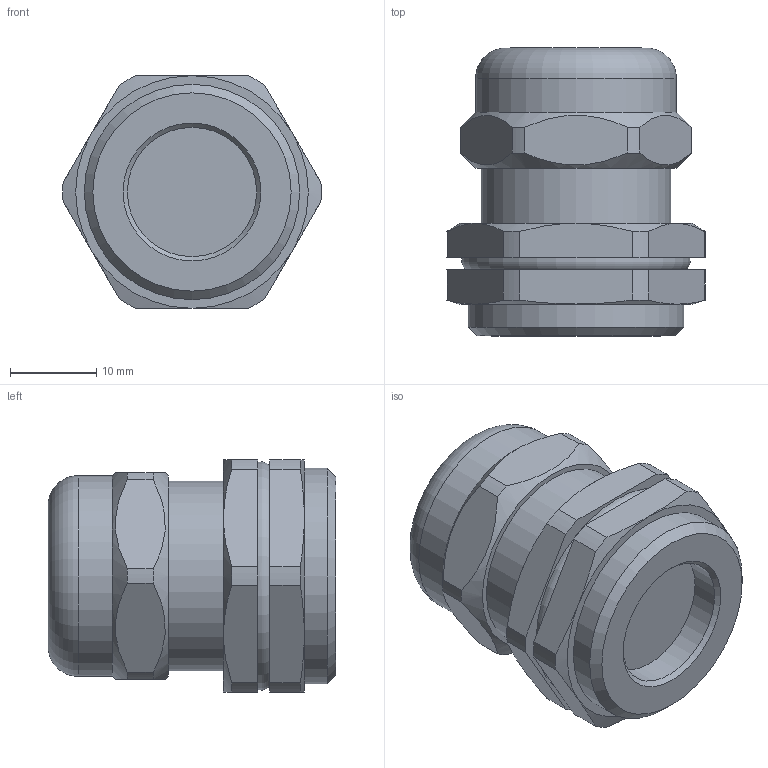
import cadquery as cq
import math


thread_length = 3.68
locknut_thickness = 4.0
seal_gap = 1.37
flange_thickness = 4.0
neck_length = 6.4
cap_hex_length = 6.5
overall_length = 33.41

locknut_y = thread_length
seal_y = locknut_y + locknut_thickness
flange_y = seal_y + seal_gap
neck_y = flange_y + flange_thickness
cap_hex_y = neck_y + neck_length
cap_y = cap_hex_y + cap_hex_length

thread_diameter = 25.0
thread_chamfer = 1.0
bore_diameter = 15.0
bore_depth = 3.7
bore_chamfer = 0.5
seal_ring_diameter = 23.5
seal_section_diameter = 3.0
seal_center_offset = 1.05
neck_diameter = 22.0
cap_diameter = 23.3
cap_round = 3.5

body_flats = 27.0
body_corner_diameter = 30.0
cap_flats = 24.0
cap_corner_diameter = 26.8

locknut_bevel = 0.45
flange_bevel = 0.95
cap_bevel = (cap_corner_diameter - cap_diameter) / 2


def cylinder(y_start, length, diameter):
    """Solid cylinder about the Y axis, growing toward +Y."""
    plane = cq.Workplane("XZ", origin=(0, y_start, 0))
    return plane.circle(diameter / 2).extrude(-length)


def turned_hexagon(y_start, length, flats, corner_diameter, end_diameter, front_bevel, back_bevel):
    """Hexagonal prism cut by a turned blank that bevels its corners to end_diameter."""
    across_corners = flats / math.cos(math.pi / 6)
    plane = cq.Workplane("XZ", origin=(0, y_start, 0))
    prism = plane.polygon(6, across_corners).extrude(-length)

    y_end = y_start + length
    corner_radius = corner_diameter / 2
    end_radius = end_diameter / 2
    profile = cq.Workplane("XY").moveTo(0, y_start)
    if front_bevel > 0:
        profile = profile.lineTo(end_radius, y_start)
    profile = profile.lineTo(corner_radius, y_start + front_bevel)
    profile = profile.lineTo(corner_radius, y_end - back_bevel)
    if back_bevel > 0:
        profile = profile.lineTo(end_radius, y_end)
    blank = profile.lineTo(0, y_end).close().revolve(360, (0, 0, 0), (0, 1, 0))
    return prism.intersect(blank)


def make_thread():
    """Front stub with a chamfered outer rim, reaching back to the flange."""
    return cylinder(0, flange_y, thread_diameter).faces("<Y").chamfer(thread_chamfer)


def make_seal():
    """Round-section ring, partly sunk into the locknut and the flange."""
    ring_radius = seal_ring_diameter / 2
    center_y = seal_y + seal_center_offset
    section = cq.Workplane("XY").center(-ring_radius, center_y).circle(seal_section_diameter / 2)
    return section.revolve(360, (ring_radius, 0, 0), (ring_radius, 1, 0))


def make_cap():
    """Domed rear end of the clamping cap."""
    return cylinder(cap_y, overall_length - cap_y, cap_diameter).faces(">Y").edges().fillet(cap_round)


def make_bore():
    """Blind bore in the front face, widened by a chamfer at its mouth."""
    bore_radius = bore_diameter / 2
    profile = (
        cq.Workplane("XY")
        .lineTo(bore_radius + bore_chamfer, 0)
        .lineTo(bore_radius, bore_chamfer)
        .lineTo(bore_radius, bore_depth)
        .lineTo(0, bore_depth)
        .close()
    )
    return profile.revolve(360, (0, 0, 0), (0, 1, 0))


locknut = turned_hexagon(
    locknut_y, locknut_thickness, body_flats, body_corner_diameter, body_flats, locknut_bevel, 0
)
flange = turned_hexagon(
    flange_y, flange_thickness, body_flats, body_corner_diameter, body_flats, 0, flange_bevel
)
cap_hex = turned_hexagon(
    cap_hex_y, cap_hex_length, cap_flats, cap_corner_diameter, cap_diameter, cap_bevel, cap_bevel
)
neck = cylinder(neck_y, neck_length, neck_diameter)

result = make_thread()
for section in (locknut, make_seal(), flange, neck, cap_hex, make_cap()):
    result = result.union(section)
result = result.cut(make_bore())